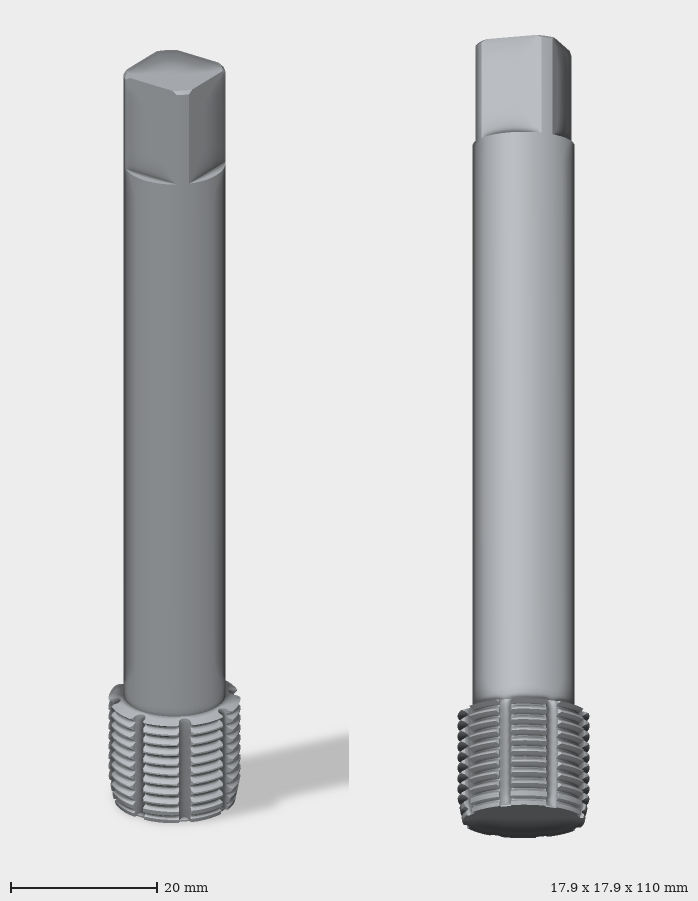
import cadquery as cq

total_length = 110.0

shank_diameter = 14.0
drive_length = 14.0
drive_across_flats = 11.0
drive_tip_chamfer = 0.4

head_length = 15.5
shoulder_drop = 0.5
thread_diameter = 18.0
crest_count = 11
crest_span = 15.0
thread_depth = 0.9
crest_width = 0.2
root_width = 0.2
top_crest_below_shank = 0.4
lead_in_length = 3.3
lead_in_depth = 0.7

groove_count = 8
groove_width = 1.6
groove_floor_radius = 7.5
groove_rim_chamfer = 0.42
groove_toe_radius = 7.9
groove_toe_height = 0.2
groove_toe_rise = 0.2

thread_pitch = crest_span / (crest_count - 1)
thread_radius = thread_diameter / 2
root_radius = thread_radius - thread_depth


def make_shank():
    """Round shank standing on the head, its free end milled to a square drive."""
    shank = (
        cq.Workplane("XY", origin=(0, 0, head_length))
        .circle(shank_diameter / 2)
        .extrude(total_length - head_length)
        .faces(">Z")
        .chamfer(drive_tip_chamfer)
    )
    drive_base = cq.Workplane("XY", origin=(0, 0, total_length - drive_length))
    flats_waste = (
        drive_base.rect(2 * shank_diameter, 2 * shank_diameter)
        .rect(drive_across_flats, drive_across_flats)
        .extrude(drive_length)
    )
    return shank.cut(flats_waste)


def make_crest(height):
    """One closed thread ridge, pointing outward, centred at the given height."""
    base_half = (thread_pitch - root_width) / 2
    tip_half = crest_width / 2
    return (
        cq.Workplane("XZ")
        .moveTo(0, height - base_half)
        .lineTo(root_radius, height - base_half)
        .lineTo(thread_radius, height - tip_half)
        .lineTo(thread_radius, height + tip_half)
        .lineTo(root_radius, height + base_half)
        .lineTo(0, height + base_half)
        .close()
        .revolve(360, (0, 0, 0), (0, 1, 0))
    )


def make_head_envelope():
    """Cylinder as wide as the thread, tapered at the bottom and coned up to the shank at the top."""
    return (
        cq.Workplane("XZ")
        .moveTo(0, 0)
        .lineTo(thread_radius - lead_in_depth, 0)
        .lineTo(thread_radius, lead_in_length)
        .lineTo(thread_radius, head_length - shoulder_drop)
        .lineTo(shank_diameter / 2, head_length)
        .lineTo(0, head_length)
        .close()
        .revolve(360, (0, 0, 0), (0, 1, 0))
    )


def make_groove_toe():
    """Core left standing at the bottom of the grooves, its top sloping up to the groove floor."""
    return (
        cq.Workplane("XZ")
        .moveTo(0, 0)
        .lineTo(groove_toe_radius, 0)
        .lineTo(groove_toe_radius, groove_toe_height)
        .lineTo(groove_floor_radius, groove_toe_height + groove_toe_rise)
        .lineTo(0, groove_toe_height + groove_toe_rise)
        .close()
        .revolve(360, (0, 0, 0), (0, 1, 0))
    )


def make_groove():
    """Cutter for one round-bottomed groove with a chamfered rim on the +X side."""
    half_width = groove_width / 2
    round_centre = groove_floor_radius + half_width
    chamfer_start = thread_radius - groove_rim_chamfer
    outside = thread_radius + groove_rim_chamfer
    outside_half_width = half_width + outside - chamfer_start
    groove = (
        cq.Workplane("XY")
        .moveTo(outside, -outside_half_width)
        .lineTo(chamfer_start, -half_width)
        .lineTo(round_centre, -half_width)
        .threePointArc((groove_floor_radius, 0), (round_centre, half_width))
        .lineTo(chamfer_start, half_width)
        .lineTo(outside, outside_half_width)
        .close()
        .extrude(head_length)
    )
    return groove.cut(make_groove_toe())


def make_head():
    """Head with closed thread ridges, a coned shoulder, a tapered lead-in and lengthwise grooves."""
    head = cq.Workplane("XY").circle(root_radius).extrude(head_length)
    top_crest_height = head_length - top_crest_below_shank
    for index in range(crest_count):
        head = head.union(make_crest(top_crest_height - index * thread_pitch))
    head = head.intersect(make_head_envelope())
    groove = make_groove()
    for index in range(groove_count):
        angle = index * 360 / groove_count
        head = head.cut(groove.rotate((0, 0, 0), (0, 0, 1), angle))
    return head


shank = make_shank()
head = make_head()
result = cq.Compound.makeCompound([shank.val(), head.val()])